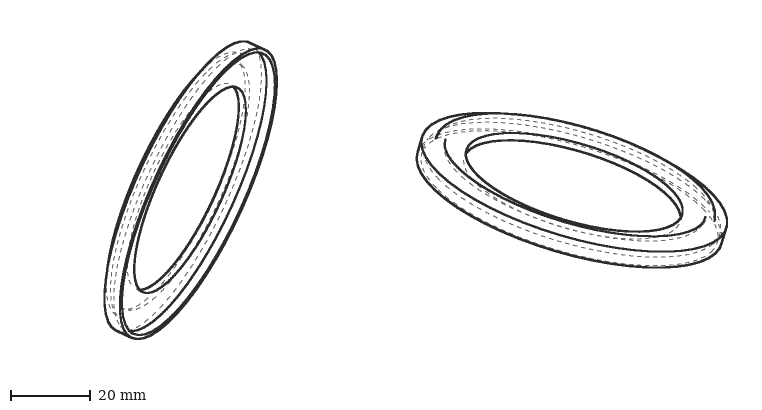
import cadquery as cq

outer_diameter = 79.7
bore_diameter = 56.5
total_width = 6.4
bead_height = 1.9

bead_outer_diameter = 72.9
bead_inner_diameter = 68.1
root_fillet = 0.4

recess_diameter = 77.5
web_thickness = 2.1

outer_radius = outer_diameter / 2
bore_radius = bore_diameter / 2
recess_radius = recess_diameter / 2
bead_outer_radius = bead_outer_diameter / 2
bead_inner_radius = bead_inner_diameter / 2
crown_radius = (bead_outer_radius - bead_inner_radius) / 2
bead_center_radius = (bead_outer_radius + bead_inner_radius) / 2

bead_tip_x = -total_width / 2
face_x = bead_tip_x + bead_height
web_back_x = face_x + web_thickness
back_x = total_width / 2
crown_center_x = bead_tip_x + crown_radius
fillet_start_x = face_x - root_fillet

section = (
    cq.Workplane("XY")
    .moveTo(web_back_x, bore_radius)
    .lineTo(web_back_x, recess_radius)
    .lineTo(back_x, recess_radius)
    .lineTo(back_x, outer_radius)
    .lineTo(face_x, outer_radius)
    .lineTo(face_x, bead_outer_radius + root_fillet)
    .radiusArc((fillet_start_x, bead_outer_radius), root_fillet)
    .lineTo(crown_center_x, bead_outer_radius)
    .threePointArc((bead_tip_x, bead_center_radius), (crown_center_x, bead_inner_radius))
    .lineTo(fillet_start_x, bead_inner_radius)
    .radiusArc((face_x, bead_inner_radius - root_fillet), root_fillet)
    .lineTo(face_x, bore_radius)
    .close()
)

result = section.revolve(360, (0, 0, 0), (1, 0, 0))